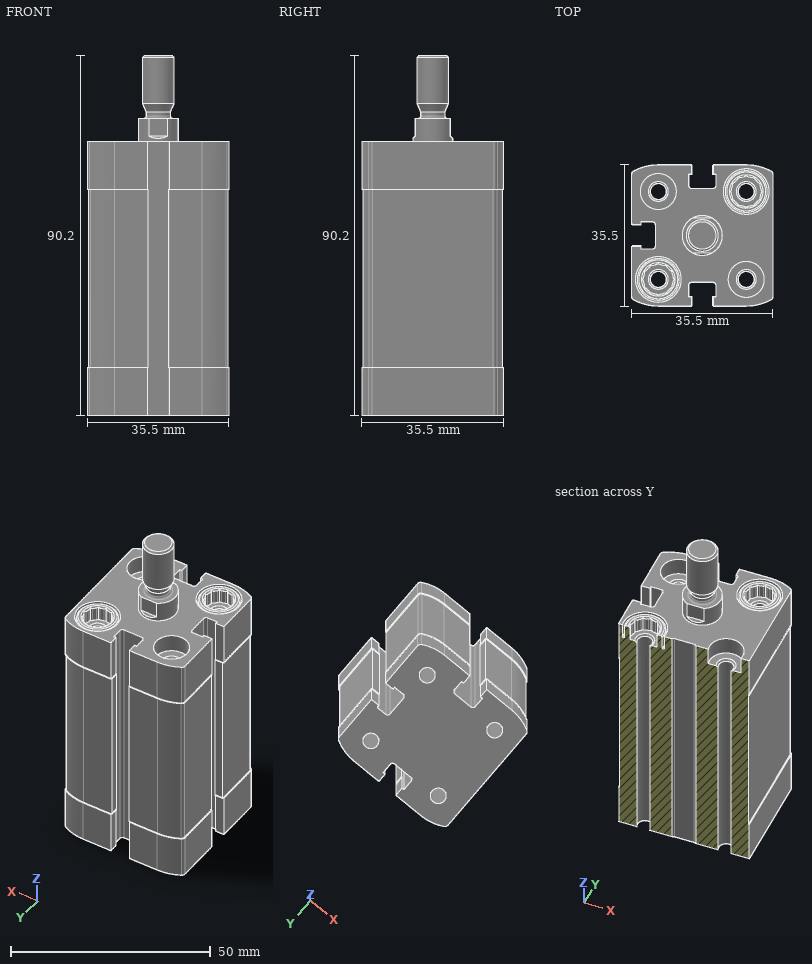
import cadquery as cq
import math

OVERALL_HEIGHT = 90.25
BODY_WIDTH = 35.5
BODY_HEIGHT = 68.7
CAP_HEIGHT = 12.0
TUBE_INSET = 0.23

CORNER_ARC_RADIUS = 13.0
CORNER_EDGE_RADIUS = 1.0

CAP_SLOT_WIDTH = 5.5
TUBE_SLOT_WIDTH = 5.1
SLOT_INNER_WIDTH = 6.8
SLOT_LIP_DEPTH = 2.4
SLOT_DEPTH = 6.0
SLOT_FILLET = 0.7
SLOT_ANGLES = (90, 180, 270)

HOLE_OFFSET = 11.0
HOLE_DIAMETER = 4.0
HOLE_MOUTH_DIAMETER = 5.0
COUNTERBORE_DIAMETER = 9.0
COUNTERBORE_DEPTH = 5.0
COUNTERBORE_CORNERS = ((-1, 1), (1, -1))
SCREW_CORNERS = ((-1, -1), (1, 1))

HEAD_GAP_DIAMETER = 11.5
HEAD_DIAMETER = 10.5
HEAD_CHAMFER = 0.4
SOCKET_DIAMETER = 7.5
SOCKET_TIP_DIAMETER = 7.9
SOCKET_DEPTH = 4.3
SOCKET_MOUTH_DIAMETER = 8.4
GROOVE_COUNT = 12
GROOVE_HALF_ANGLE = 7.5

ROD_DIAMETER = 10.0
ROD_SHOULDER_Z = 74.5
FLAT_WIDTH = 8.8
FLAT_BOTTOM_Z = 70.0
NECK_DIAMETER = 6.1
NECK_FILLET = 0.5
NECK_TOP_Z = 76.1
THREAD_DIAMETER = 7.9
THREAD_BOTTOM_Z = 78.2
TIP_CHAMFER = 0.5

UPPER_CAP_Z = BODY_HEIGHT - CAP_HEIGHT
ROD_BOTTOM_Z = UPPER_CAP_Z
HALF_WIDTH = BODY_WIDTH / 2


def cylinder(diameter, bottom, top):
    return cq.Workplane("XY").workplane(offset=bottom).circle(diameter / 2).extrude(top - bottom)


def cone_frustum(bottom_diameter, top_diameter, bottom, top):
    profile = [(0, bottom), (bottom_diameter / 2, bottom), (top_diameter / 2, top), (0, top)]
    return cq.Workplane("XZ").polyline(profile).close().revolve(360, (0, 0, 0), (0, 1, 0))


def at_corner(shape, corner):
    return shape.translate((corner[0] * HOLE_OFFSET, corner[1] * HOLE_OFFSET, 0))


def body_block(half_width, arc_radius, bottom, top):
    """Square block whose four corners are arcs tangent to the Y faces."""
    arc_run = half_width - HOLE_OFFSET
    side = half_width - arc_radius + math.sqrt(arc_radius**2 - arc_run**2)
    return (
        cq.Workplane("XY").workplane(offset=bottom)
        .moveTo(-HOLE_OFFSET, half_width)
        .lineTo(HOLE_OFFSET, half_width)
        .radiusArc((half_width, side), arc_radius)
        .lineTo(half_width, -side)
        .radiusArc((HOLE_OFFSET, -half_width), arc_radius)
        .lineTo(-HOLE_OFFSET, -half_width)
        .radiusArc((-half_width, -side), arc_radius)
        .lineTo(-half_width, side)
        .radiusArc((-HOLE_OFFSET, half_width), arc_radius)
        .close().extrude(top - bottom)
        .edges("|Z and (<X or >X)").fillet(CORNER_EDGE_RADIUS)
    )


def slot_cutter(opening_width, bottom, top):
    """T-slot opening toward +X; the other slots are turned copies of it."""
    height = top - bottom
    opening = (
        cq.Workplane("XY")
        .box(SLOT_DEPTH, opening_width, height, centered=(False, True, False))
        .translate((HALF_WIDTH - SLOT_LIP_DEPTH, 0, bottom))
    )
    chamber = (
        cq.Workplane("XY")
        .box(SLOT_DEPTH - SLOT_LIP_DEPTH, SLOT_INNER_WIDTH, height, centered=(False, True, False))
        .edges("|Z and <X").fillet(SLOT_FILLET)
        .translate((HALF_WIDTH - SLOT_DEPTH, 0, bottom))
    )
    return opening.union(chamber)


def slotted_section(inset, slot_width, bottom, top):
    section = body_block(HALF_WIDTH - inset, CORNER_ARC_RADIUS - inset, bottom, top)
    cutter = slot_cutter(slot_width, bottom, top)
    for angle in SLOT_ANGLES:
        section = section.cut(cutter.rotate((0, 0, 0), (0, 0, 1), angle))
    return section


def hole_cutter(floor_z):
    """Through hole with a conical mouth at the given floor height."""
    mouth_depth = (HOLE_MOUTH_DIAMETER - HOLE_DIAMETER) / 2
    mouth = cone_frustum(HOLE_DIAMETER, HOLE_MOUTH_DIAMETER, floor_z - mouth_depth, floor_z)
    return cylinder(HOLE_DIAMETER, 0, BODY_HEIGHT).union(mouth)


def counterbored_hole_cutter():
    floor_z = BODY_HEIGHT - COUNTERBORE_DEPTH
    return hole_cutter(floor_z).union(cylinder(COUNTERBORE_DIAMETER, floor_z, BODY_HEIGHT))


def socket_outline():
    """Circle with evenly spaced V grooves, closed as arcs and straight flanks."""
    def point(diameter, angle):
        turn = math.radians(angle)
        return (diameter / 2 * math.cos(turn), diameter / 2 * math.sin(turn))

    pitch = 360 / GROOVE_COUNT
    outline = cq.Workplane("XY").moveTo(*point(SOCKET_DIAMETER, -GROOVE_HALF_ANGLE))
    for groove in range(GROOVE_COUNT):
        tip = groove * pitch
        outline = (
            outline
            .lineTo(*point(SOCKET_TIP_DIAMETER, tip))
            .lineTo(*point(SOCKET_DIAMETER, tip + GROOVE_HALF_ANGLE))
            .threePointArc(
                point(SOCKET_DIAMETER, tip + pitch / 2),
                point(SOCKET_DIAMETER, tip + pitch - GROOVE_HALF_ANGLE),
            )
        )
    return outline.close()


def screw_head_cutter():
    """Ring gap around a chamfered head, plus its splined socket and through hole."""
    floor_z = BODY_HEIGHT - SOCKET_DEPTH
    head = cylinder(HEAD_DIAMETER, floor_z, BODY_HEIGHT).faces(">Z").chamfer(HEAD_CHAMFER)
    gap = cylinder(HEAD_GAP_DIAMETER, floor_z, BODY_HEIGHT).cut(head)
    socket = socket_outline().extrude(SOCKET_DEPTH).translate((0, 0, floor_z))
    mouth_depth = (SOCKET_MOUTH_DIAMETER - SOCKET_DIAMETER) / 2
    mouth_z = BODY_HEIGHT - mouth_depth
    mouth = cone_frustum(SOCKET_DIAMETER, SOCKET_MOUTH_DIAMETER, mouth_z, BODY_HEIGHT)
    return gap.union(socket).union(mouth).union(hole_cutter(floor_z))


def make_housing():
    body = slotted_section(TUBE_INSET, TUBE_SLOT_WIDTH, CAP_HEIGHT, UPPER_CAP_Z)
    for bottom in (0, UPPER_CAP_Z):
        body = body.union(slotted_section(0, CAP_SLOT_WIDTH, bottom, bottom + CAP_HEIGHT))
    for corner in COUNTERBORE_CORNERS:
        body = body.cut(at_corner(counterbored_hole_cutter(), corner))
    for corner in SCREW_CORNERS:
        body = body.cut(at_corner(screw_head_cutter(), corner))
    return body.cut(cylinder(ROD_DIAMETER, ROD_BOTTOM_Z, BODY_HEIGHT))


def wrench_flat_cutter():
    """Cuts the +Y flat, ending below in a 45 degree slope."""
    flat_y = FLAT_WIDTH / 2
    outer_y = ROD_DIAMETER / 2
    slope_bottom = FLAT_BOTTOM_Z - (outer_y - flat_y)
    profile = [
        (flat_y, ROD_SHOULDER_Z),
        (flat_y, FLAT_BOTTOM_Z),
        (outer_y, slope_bottom),
        (outer_y, ROD_SHOULDER_Z),
    ]
    return cq.Workplane("YZ").polyline(profile).close().extrude(ROD_DIAMETER / 2, both=True)


def make_rod():
    neck_radius = NECK_DIAMETER / 2
    thread_radius = THREAD_DIAMETER / 2
    fillet_inset = NECK_FILLET * (1 - math.sqrt(0.5))
    rod = (
        cq.Workplane("XZ")
        .moveTo(0, ROD_BOTTOM_Z)
        .lineTo(ROD_DIAMETER / 2, ROD_BOTTOM_Z)
        .lineTo(ROD_DIAMETER / 2, ROD_SHOULDER_Z)
        .lineTo(neck_radius + NECK_FILLET, ROD_SHOULDER_Z)
        .threePointArc(
            (neck_radius + fillet_inset, ROD_SHOULDER_Z + fillet_inset),
            (neck_radius, ROD_SHOULDER_Z + NECK_FILLET),
        )
        .lineTo(neck_radius, NECK_TOP_Z)
        .lineTo(thread_radius, THREAD_BOTTOM_Z)
        .lineTo(thread_radius, OVERALL_HEIGHT - TIP_CHAMFER)
        .lineTo(thread_radius - TIP_CHAMFER, OVERALL_HEIGHT)
        .lineTo(0, OVERALL_HEIGHT)
        .close().revolve(360, (0, 0, 0), (0, 1, 0))
    )
    flat = wrench_flat_cutter()
    return rod.cut(flat).cut(flat.mirror("XZ"))


housing = make_housing()
rod = make_rod()

result = cq.Compound.makeCompound([housing.val(), rod.val()])